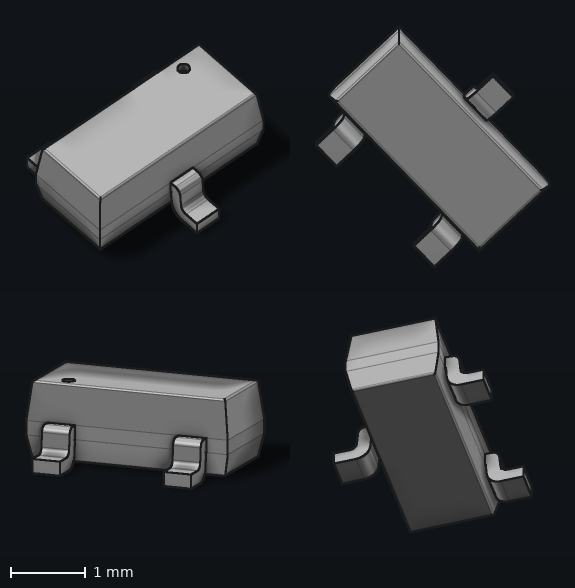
import cadquery as cq
import math

body_length = 2.92
body_width = 1.3
body_top = 1.12
body_bottom = 0.055
draft_inset = 0.065
rim_radius = 0.03

lead_span = 2.37
lead_thickness = 0.2
lead_width = 0.4
lead_pitch = 0.95
lead_top = 0.578
foot_flat = 0.222
bend_radius = 0.1
heel_radius = 0.2
web_lean = math.radians(5)

band_top = lead_top
band_bottom = lead_top - lead_thickness

mark_diameter = 0.164
mark_depth = 0.145
mark_x = -0.39
mark_y = lead_pitch


def drafted_block(base_z, height):
    """Block rising (or falling, for a negative height) from the band and narrowing by the draft inset."""
    draft_angle = math.degrees(math.atan(draft_inset / abs(height)))
    return (
        cq.Workplane("XY", origin=(0, 0, base_z))
        .rect(body_width, body_length)
        .extrude(height, taper=draft_angle)
    )


def make_body():
    band = (
        cq.Workplane("XY", origin=(0, 0, band_bottom))
        .rect(body_width, body_length)
        .extrude(band_top - band_bottom)
    )
    upper = drafted_block(band_top, body_top - band_top)
    lower = drafted_block(band_bottom, body_bottom - band_bottom)
    body = band.union(upper).union(lower)
    body = body.faces(">Z or <Z").edges().fillet(rim_radius)

    mark = (
        cq.Workplane("XY", origin=(mark_x, mark_y, body_top - mark_depth))
        .circle(mark_diameter / 2)
        .extrude(mark_depth)
    )
    return body.cut(mark)


def make_lead(center_y):
    """Gull-wing lead on the -X side, ending flush against the body."""
    tip_x = -lead_span / 2
    body_x = -body_width / 2
    lean_cos = math.cos(web_lean)
    lean_sin = math.sin(web_lean)
    lean_tan = math.tan(web_lean)

    foot_bend_x = tip_x + foot_flat
    foot_bend_z = lead_thickness + bend_radius
    heel_shift = (foot_bend_z - heel_radius) * (1 - lean_sin) / lean_cos
    heel_x = foot_bend_x + heel_shift
    web_back_low = (heel_x + heel_radius * lean_cos, heel_radius * (1 - lean_sin))
    web_front_low = (foot_bend_x + bend_radius * lean_cos, foot_bend_z - bend_radius * lean_sin)

    shoulder_z = lead_top - bend_radius
    web_front_high_z = shoulder_z + bend_radius * lean_sin
    web_front_high_x = web_front_low[0] + (web_front_high_z - web_front_low[1]) * lean_tan
    shoulder_x = web_front_high_x + bend_radius * lean_cos
    web_back_high_x = web_back_low[0] + (band_bottom - web_back_low[1]) * lean_tan

    return (
        cq.Workplane("XZ", origin=(0, center_y + lead_width / 2, 0))
        .moveTo(tip_x, 0)
        .lineTo(heel_x, 0)
        .tangentArcPoint(web_back_low, relative=False)
        .lineTo(web_back_high_x, band_bottom)
        .lineTo(body_x, band_bottom)
        .lineTo(body_x, lead_top)
        .lineTo(shoulder_x, lead_top)
        .tangentArcPoint((web_front_high_x, web_front_high_z), relative=False)
        .lineTo(*web_front_low)
        .tangentArcPoint((foot_bend_x, lead_thickness), relative=False)
        .lineTo(tip_x, lead_thickness)
        .close()
        .extrude(lead_width)
    )


body = make_body()

lead_placements = [(lead_pitch, 0), (-lead_pitch, 0), (0, 180)]
leads = []
for center_y, turn in lead_placements:
    lead = make_lead(center_y).rotate((0, 0, 0), (0, 0, 1), turn)
    leads.append(lead.val())

result = cq.Compound.makeCompound([body.val(), *leads])